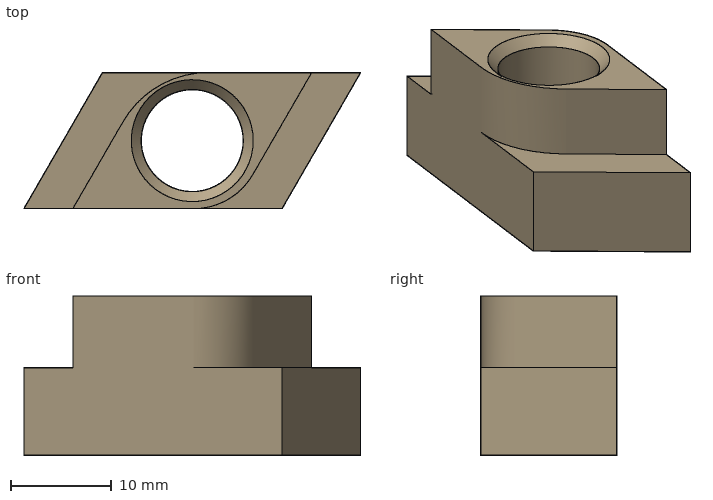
import cadquery as cq
import math

length = 33.43
width = 13.5
height = 15.8
base_height = 8.7
acute_angle = 60.0
boss_length = 23.7
front_corner_radius = width / 2
rear_corner_radius = 9.75
bore_diameter = 10.1
bore_rim_diameter = 12.1


def slanted_block(block_length, block_height):
    """Parallelogram block centred on the Z axis, standing on Z = 0."""
    half_length = block_length / 2
    half_width = width / 2
    skew = width / math.tan(math.radians(acute_angle))
    outline = [
        (-half_length, -half_width),
        (half_length - skew, -half_width),
        (half_length, half_width),
        (-half_length + skew, half_width),
    ]
    return cq.Workplane("XY").polyline(outline).close().extrude(block_height)


def corner_boss():
    """Raised middle block whose two obtuse corners are rounded with different radii."""
    block = slanted_block(boss_length, height)
    front_obtuse_corner = block.faces("<Y").edges("|Z").edges(">X")
    block = front_obtuse_corner.fillet(front_corner_radius)
    rear_obtuse_corner = block.faces(">Y").edges("|Z").edges("<X")
    return rear_obtuse_corner.fillet(rear_corner_radius)


def bore_cutter():
    """Through bore with a 45 degree chamfer at its upper rim."""
    chamfer = (bore_rim_diameter - bore_diameter) / 2
    bore = cq.Workplane("XY").circle(bore_diameter / 2).extrude(height)
    rim = (
        cq.Workplane("XY")
        .workplane(offset=height)
        .circle(bore_rim_diameter / 2)
        .workplane(offset=-chamfer)
        .circle(bore_diameter / 2)
        .loft(ruled=True)
    )
    return bore.union(rim)


base = slanted_block(length, base_height)
result = base.union(corner_boss()).cut(bore_cutter())